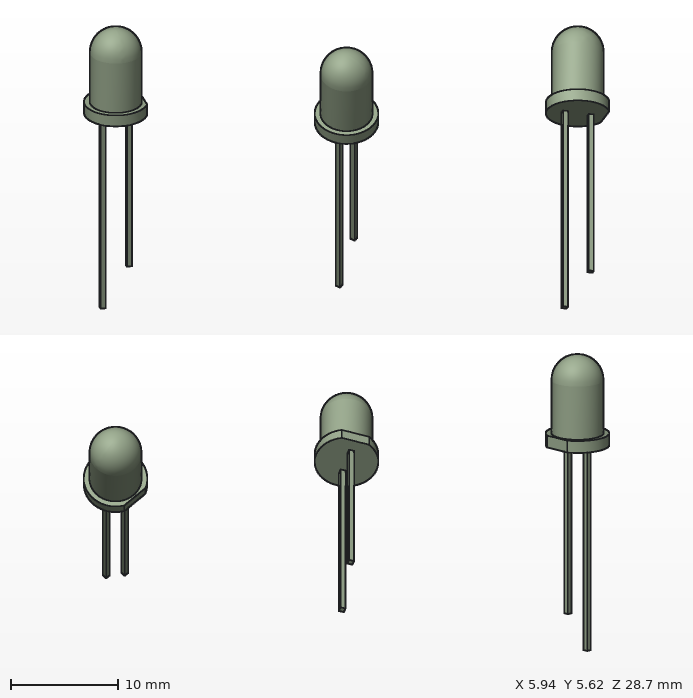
import cadquery as cq

total_height = 28.7
long_lead_length = 20.0
short_lead_length = 16.0
head_height = total_height - long_lead_length

lens_radius = 2.45
flange_radius = 2.97
flange_height = 1.15
flat_offset = 2.655

lead_width = 0.5
lead_pitch = 2.53


def make_flange():
    """Round flange cut by a flat on its +Y side."""
    disc = cq.Workplane("XY").circle(flange_radius).extrude(flange_height)
    kept_depth = flange_radius + flat_offset
    kept_block = (
        cq.Workplane("XY")
        .center(0, flat_offset - kept_depth / 2)
        .rect(2 * flange_radius, kept_depth)
        .extrude(flange_height)
    )
    return disc.intersect(kept_block)


def make_lens():
    """Cylinder topped by a hemispherical dome."""
    dome_base = head_height - lens_radius
    cylinder = cq.Workplane("XY").circle(lens_radius).extrude(dome_base)
    dome = cq.Workplane("XY").sphere(lens_radius).translate((0, 0, dome_base))
    return cylinder.union(dome)


def make_lead(y, length):
    """Square lead hanging below the flange."""
    return cq.Workplane("XY").center(0, y).rect(lead_width, lead_width).extrude(-length)


result = (
    make_flange()
    .union(make_lens())
    .union(make_lead(-lead_pitch / 2, long_lead_length))
    .union(make_lead(lead_pitch / 2, short_lead_length))
)